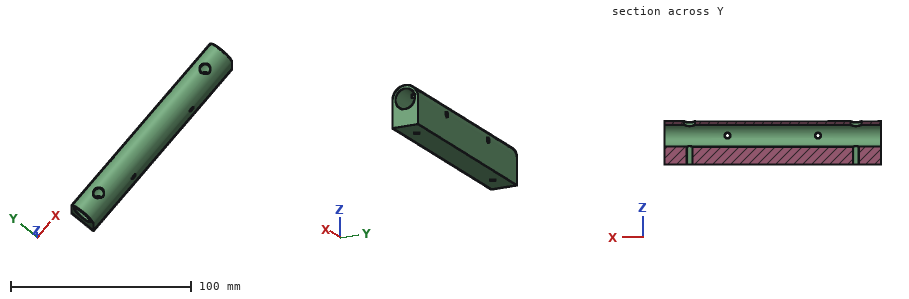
import cadquery as cq

length = 120.0
width = 16.0
height = 24.0
top_radius = width / 2
axis_height = height - top_radius

bore_diameter = 12.0
cross_hole_diameter = 3.0
cross_hole_spacing = 50.0
screw_hole_diameter = 3.0
access_hole_diameter = 6.0
screw_spacing = 92.0


def mirrored_pair(spacing):
    """Positions along X, symmetric about the middle of the part."""
    return [(-spacing / 2, 0), (spacing / 2, 0)]


body = (
    cq.Workplane("YZ")
    .moveTo(-top_radius, 0)
    .lineTo(top_radius, 0)
    .lineTo(top_radius, axis_height)
    .threePointArc((0, height), (-top_radius, axis_height))
    .close()
    .extrude(length / 2, both=True)
)

bore = (
    cq.Workplane("YZ")
    .center(0, axis_height)
    .circle(bore_diameter / 2)
    .extrude(length / 2, both=True)
)

cross_holes = (
    cq.Workplane("XZ")
    .center(0, axis_height)
    .pushPoints(mirrored_pair(cross_hole_spacing))
    .circle(cross_hole_diameter / 2)
    .extrude(width / 2, both=True)
)

screw_holes = (
    cq.Workplane("XY")
    .pushPoints(mirrored_pair(screw_spacing))
    .circle(screw_hole_diameter / 2)
    .extrude(height)
)

access_holes = (
    cq.Workplane("XY")
    .workplane(offset=axis_height)
    .pushPoints(mirrored_pair(screw_spacing))
    .circle(access_hole_diameter / 2)
    .extrude(top_radius)
)

result = body.cut(bore).cut(cross_holes).cut(screw_holes).cut(access_holes)